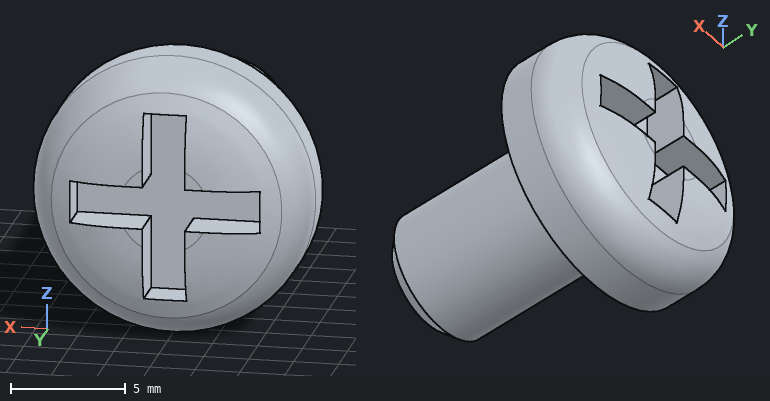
import cadquery as cq
import math

total_length = 13.85
head_height = 4.32
head_radius = 12.5 / 2
shank_radius = 6.35 / 2
tip_chamfer = 0.79

band_height = 1.69
shoulder_radius = 2.26
crown_drop = 0.68
flat_radius = 2.0

slot_width = 1.9
recess_span = 8.45
recess_depth = 2.08

shank_length = total_length - head_height
crown_base = head_height - crown_drop

shoulder_center = head_radius - shoulder_radius
shoulder_angle = math.asin((crown_base - band_height) / shoulder_radius)


def shoulder_point(angle):
    """Point of the shoulder arc at an angle measured up from its start."""
    radius = shoulder_center + shoulder_radius * math.cos(angle)
    height = band_height + shoulder_radius * math.sin(angle)
    return radius, height


def make_head():
    profile = (
        cq.Workplane("XY")
        .lineTo(head_radius, 0)
        .lineTo(head_radius, band_height)
        .threePointArc(shoulder_point(shoulder_angle / 2), shoulder_point(shoulder_angle))
    )
    crown_run = shoulder_point(shoulder_angle)[0] - flat_radius
    crown_radius = (crown_run**2 + crown_drop**2) / (2 * crown_drop)
    middle_angle = math.asin(crown_run / crown_radius) / 2
    crown_middle = (
        flat_radius + crown_radius * math.sin(middle_angle),
        head_height - crown_radius * (1 - math.cos(middle_angle)),
    )
    return (
        profile.threePointArc(crown_middle, (flat_radius, head_height))
        .lineTo(0, head_height)
        .close()
        .revolve(360, (0, 0), (0, 1))
    )


def make_shank():
    return (
        cq.Workplane("XZ")
        .circle(shank_radius)
        .extrude(shank_length)
        .faces("<Y")
        .chamfer(tip_chamfer)
    )


def make_cross_recess():
    floor = cq.Workplane("XZ", origin=(0, head_height - recess_depth, 0))
    along_x = floor.rect(recess_span, slot_width).extrude(-recess_depth)
    along_z = floor.rect(slot_width, recess_span).extrude(-recess_depth)
    return along_x.union(along_z)


result = make_head().union(make_shank()).cut(make_cross_recess())